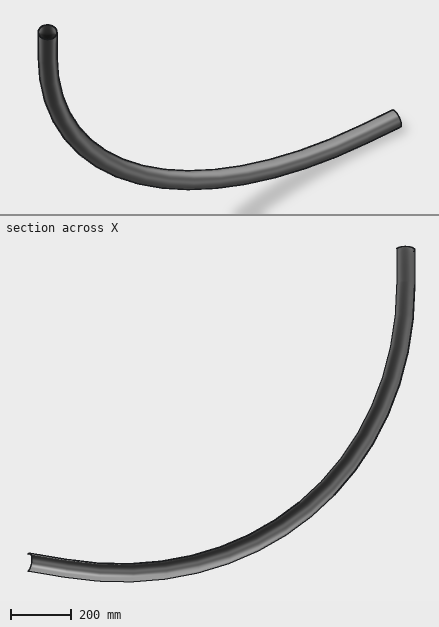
import cadquery as cq

overall = 1378.0
outer_diameter = 63.0
inner_diameter = 59.0
straight_length = 125.0

bend_radius = overall - outer_diameter / 2 - straight_length


def ring(plane):
    """Cross-section of the tube wall on the given plane."""
    return cq.Workplane(plane).circle(outer_diameter / 2).circle(inner_diameter / 2)


vertical_end = ring("XY").extrude(straight_length)

bend = ring("XY").revolve(90, (-14, bend_radius, 0), (14, bend_radius, 0))

horizontal_end = (
    ring("XZ")
    .extrude(-straight_length)
    .translate((0, bend_radius, -bend_radius))
)

result = vertical_end.union(bend).union(horizontal_end)